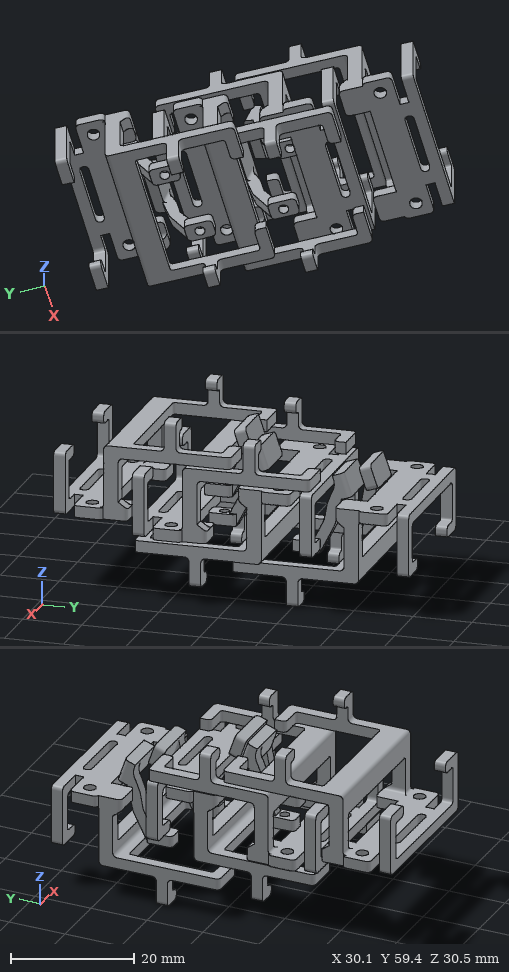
import cadquery as cq
import math

STOCK = 2.0
ROUND = 0.8
SMALL_ROUND = 0.5
NEAR = 0.05

WIDTH = 26.0
HALF = WIDTH / 2
EAR_WIDTH = 27.0
LENGTH = 30.1
HEIGHT = 12.65
END_ARM_HEIGHT = 10.75

SLOT_WIDTH = 1.5
SLOT_LENGTH = 11.0
SLOT_END_Y = STOCK + SLOT_WIDTH
GAP_HALF = 8.0
HOLE_DIAMETER = 2.0
HOLE_SPACING = 22.0
HOLE_Y = 6.0

WALL_Y = 8.5
WALL_THICKNESS = 2.5
WALL_END_Y = WALL_Y + WALL_THICKNESS
WINDOW_DROP = 4.05
TAB_END_Y = 12.55
GUSSET_RISE = 1.2

OPENING_Y = 12.95
FRAME_GAP_HALF = 7.0
TOP_ARM_Y = 18.8
TOP_ARM_HEIGHT = 5.05
TOP_GAP_HALF = 9.5

BASE_LENGTH = 4.75
BASE_WIDTH = 3.1
BASE_HOLE_DIAMETER = 1.6
PADDLE_WIDTH = 8.0
PADDLE_LENGTH = 4.2
PADDLE_TILT = 19.0
PADDLE_TOP_Y = 4.0
PADDLE_TOP_Z = 14.1
PADDLE_BLEND = 0.5
STRIP_BEND = 3.0
FOOT_Y = -1.25
HEEL = (-0.05, 0)
BACK_KNEE = (2.5, 5.0)
BACK_TOP = (3.7, 9.8)
INSIDE_PADDLE = (3.7, 11.6)
BLEND_END = (1.95, 10.6)
FRONT_NECK = (1.2, 8.6)
FRONT_KNEE = (0.65, 5.6)


def block(x_range, y_range, z_range):
    """Box between the given limits."""
    size = [high - low for low, high in (x_range, y_range, z_range)]
    return cq.Workplane("XY").box(*size, centered=False).translate((x_range[0], y_range[0], z_range[0]))


def edges_near(x=None, y=None, z=None):
    """Selector of the edges whose centres lie at the given coordinates; None leaves one free."""
    low = [-LENGTH if value is None else value - NEAR for value in (x, y, z)]
    high = [LENGTH if value is None else value + NEAR for value in (x, y, z)]
    return cq.selectors.BoxSelector(low, high)


def both_sides(shape):
    """The shape together with its mirror image across x = 0."""
    return shape.union(shape.mirror("YZ"))


def hooked_arms(gap_half, bottom, top, start_y):
    """Pair of upright arms whose tips turn inwards, up to half of the gap on either side."""
    inner = HALF - STOCK
    tip = top - STOCK
    free_corners = [(HALF, top), (gap_half, top), (gap_half, tip)]
    arm = (
        cq.Workplane("XZ")
        .polyline([(inner, bottom), (HALF, bottom), *free_corners, (inner, tip)])
        .close()
        .extrude(-STOCK)
    )
    for x, z in free_corners:
        arm = arm.edges("|Y").edges(edges_near(x=x, z=z)).fillet(ROUND)
    arm = arm.edges("|Y").edges(edges_near(x=inner, z=tip)).fillet(SMALL_ROUND)
    return both_sides(arm.translate((0, start_y, 0)))


def tab(height):
    """Strip beside the notch on the +x side, up to the rounded end of the plate."""
    corner = block((GAP_HALF, HALF), (SLOT_END_Y + ROUND, TAB_END_Y), (0, height))
    return corner.edges("|Z and >Y").fillet(ROUND)


def plate():
    """Slotted base plate with ears, screw holes and two tabs beside a notch."""
    slot_y = STOCK + SLOT_WIDTH / 2
    end_bar = block((-HALF, HALF), (0, STOCK), (0, STOCK)).edges("|Y and <Z").fillet(ROUND)
    core = block((-GAP_HALF, GAP_HALF), (0, WALL_Y), (0, STOCK))
    ears = block((-EAR_WIDTH / 2, EAR_WIDTH / 2), (SLOT_END_Y, WALL_Y), (0, STOCK)).edges("|Z").fillet(ROUND)
    body = end_bar.union(core).union(ears).union(both_sides(tab(STOCK)))
    body = body.cut(cq.Workplane("XY").center(0, slot_y).slot2D(SLOT_LENGTH, SLOT_WIDTH).extrude(STOCK))
    side_slot_length = 2 * (HALF - GAP_HALF)
    side_slots = (
        cq.Workplane("XY")
        .pushPoints([(-HALF, slot_y), (HALF, slot_y)])
        .slot2D(side_slot_length, SLOT_WIDTH)
        .extrude(STOCK)
    )
    holes = (
        cq.Workplane("XY")
        .pushPoints([(-HOLE_SPACING / 2, HOLE_Y), (HOLE_SPACING / 2, HOLE_Y)])
        .circle(HOLE_DIAMETER / 2)
        .extrude(STOCK)
    )
    return body.cut(side_slots).cut(holes)


def wall():
    """Upright wall with a wide window that reaches down to the plate."""
    window_top = HEIGHT - WINDOW_DROP
    body = block((-HALF, HALF), (WALL_Y, WALL_END_Y), (0, HEIGHT))
    inner = HALF - STOCK
    window = block((-inner, inner), (WALL_Y, WALL_END_Y), (STOCK, window_top)).edges("|Y").fillet(SMALL_ROUND)
    notch = block((-GAP_HALF, GAP_HALF), (WALL_Y, WALL_END_Y), (0, STOCK))
    return body.cut(window).cut(notch)


def wall_feet():
    """Flared feet of the wall legs: rounded in front and inside, sloping down to the tab end behind."""
    inner = HALF - STOCK
    top = STOCK + GUSSET_RISE
    across = (
        cq.Workplane("XZ")
        .moveTo(HALF, STOCK)
        .lineTo(inner - ROUND, STOCK)
        .radiusArc((inner, STOCK + ROUND), -ROUND)
        .lineTo(inner, top)
        .lineTo(HALF, top)
        .close()
        .extrude(-LENGTH)
    )
    along = (
        cq.Workplane("YZ")
        .moveTo(TAB_END_Y, STOCK)
        .lineTo(WALL_Y - SMALL_ROUND, STOCK)
        .radiusArc((WALL_Y, STOCK + SMALL_ROUND), -SMALL_ROUND)
        .lineTo(WALL_Y, top)
        .lineTo(WALL_END_Y, top)
        .close()
        .extrude(HALF)
    )
    return both_sides(across.intersect(along).intersect(tab(top)))


def frame():
    """Flat frame at the top whose end turns inwards into two hooks."""
    bottom = HEIGHT - STOCK
    body = block((-HALF, HALF), (WALL_Y, LENGTH), (bottom, HEIGHT)).edges("|Z and >Y").fillet(ROUND)
    inner = HALF - STOCK
    opening = block((-inner, inner), (OPENING_Y, LENGTH - STOCK), (bottom, HEIGHT))
    opening = opening.edges("|Z").fillet(SMALL_ROUND)
    gap = block((-FRAME_GAP_HALF, FRAME_GAP_HALF), (LENGTH - 2 * STOCK, LENGTH), (bottom, HEIGHT))
    body = body.cut(opening).cut(gap)
    for x in (-FRAME_GAP_HALF, FRAME_GAP_HALF):
        body = body.edges("|Z").edges(edges_near(x=x)).fillet(ROUND)
    return body


def bracket():
    """Plate, wall and frame in a step, with hooked arms at the plate end and on the frame."""
    body = plate().union(wall()).union(frame()).union(wall_feet())
    body = body.union(hooked_arms(GAP_HALF, STOCK / 2, END_ARM_HEIGHT, 0))
    body = body.union(hooked_arms(TOP_GAP_HALF, HEIGHT - STOCK, HEIGHT + TOP_ARM_HEIGHT, TOP_ARM_Y))
    frame_bottom = HEIGHT - STOCK
    body = body.edges("|X").edges(edges_near(y=WALL_Y, z=HEIGHT)).fillet(ROUND)
    body = body.edges("|X").edges(edges_near(y=WALL_END_Y, z=frame_bottom)).fillet(ROUND)
    for arm_face_y in (TOP_ARM_Y, TOP_ARM_Y + STOCK):
        body = body.edges("|X").edges(edges_near(y=arm_face_y, z=HEIGHT)).fillet(ROUND)
    return body.edges("|Y").edges(edges_near(y=STOCK / 2, z=STOCK)).fillet(ROUND)


def lever_base():
    body = block((-BASE_WIDTH / 2, BASE_WIDTH / 2), (-BASE_LENGTH, 0), (0, STOCK)).edges("|Z").fillet(ROUND)
    hole = cq.Workplane("XY").center(0, -BASE_LENGTH / 2).circle(BASE_HOLE_DIAMETER / 2).extrude(STOCK)
    return body.cut(hole)


def strip(half_width):
    """Bent strip from the base up into the paddle; its -y face blends into the paddle face."""
    tilt = math.radians(PADDLE_TILT)
    top_corner = (PADDLE_TOP_Y - STOCK * math.cos(tilt), PADDLE_TOP_Z - STOCK * math.sin(tilt))
    blend_start = (
        top_corner[0] + PADDLE_BLEND * math.sin(tilt),
        top_corner[1] - PADDLE_BLEND * math.cos(tilt),
    )
    body = (
        cq.Workplane("YZ")
        .moveTo(FOOT_Y, 0)
        .lineTo(*HEEL)
        .lineTo(*BACK_KNEE)
        .lineTo(*BACK_TOP)
        .lineTo(*INSIDE_PADDLE)
        .lineTo(*top_corner)
        .lineTo(*blend_start)
        .tangentArcPoint(BLEND_END, relative=False)
        .lineTo(*FRONT_NECK)
        .lineTo(*FRONT_KNEE)
        .lineTo(FOOT_Y, STOCK)
        .close()
        .extrude(half_width, both=True)
    )
    body = body.edges("|X").edges(edges_near(y=HEEL[0], z=HEEL[1])).fillet(ROUND)
    for y, z in (BACK_KNEE, FRONT_NECK, FRONT_KNEE):
        body = body.edges("|X").edges(edges_near(y=y, z=z)).fillet(STRIP_BEND)
    return body


def in_paddle_place(shape):
    """Tilt and move a shape drawn with the top edge of the paddle's +y face on the x axis."""
    return shape.rotate((0, 0, 0), (1, 0, 0), PADDLE_TILT).translate((0, PADDLE_TOP_Y, PADDLE_TOP_Z))


def paddle():
    """Flat paddle that reaches out to the +x side of the strip."""
    body = block((-STOCK / 2, PADDLE_WIDTH - STOCK / 2), (-STOCK, 0), (-PADDLE_LENGTH, 0))
    body = body.edges("|Y and >X").fillet(ROUND)
    return in_paddle_place(body.edges("|Z and <X and >Y").fillet(ROUND))


def paddle_corner_fill():
    """Round in the inside corner between the paddle and the side of the strip."""
    side = STOCK / 2
    centre = (side + SMALL_ROUND, -STOCK - SMALL_ROUND)
    fill = block((side, centre[0]), (centre[1], -STOCK), (-PADDLE_LENGTH, 0))
    fill = fill.cut(cq.Workplane("XY").center(*centre).circle(SMALL_ROUND).extrude(-PADDLE_LENGTH))
    return in_paddle_place(fill).intersect(strip(centre[0]))


def lever(paddle_side):
    """Base with a hole, a bent strip rising from it and a tilted paddle to one side of the strip."""
    body = lever_base().union(strip(STOCK / 2)).union(paddle()).union(paddle_corner_fill())
    return body if paddle_side > 0 else body.mirror("YZ")


UPRIGHT_PLACES = [(1.0, -16.4, -5.0), (1.2, -29.7, -2.45)]
TURNED_PLACES = [(-1.55, 29.7, 2.45), (1.5, 14.15, 5.25)]
LEVER_PLACES = [
    (-7.0, 15.65, -7.7, 1),
    (5.05, 13.0, -7.4, -1),
    (6.95, -0.55, -3.5, -1),
    (-3.2, -4.4, -2.2, 1),
]

brackets = [bracket().translate(place).val() for place in UPRIGHT_PLACES]
for place in TURNED_PLACES:
    turned = bracket().rotate((0, 0, 0), (1, 0, 0), 180)
    brackets.append(turned.translate(place).val())

levers = []
for x, y, z, side in LEVER_PLACES:
    levers.append(lever(side).translate((x, y, z)).val())

result = cq.Compound.makeCompound([*brackets, *levers])